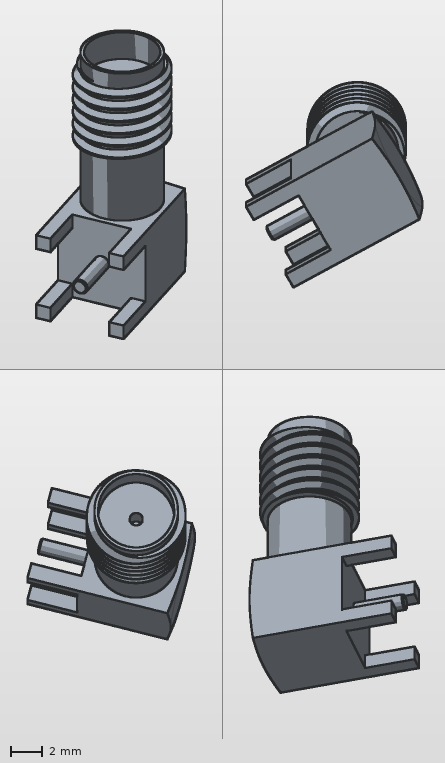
import cadquery as cq
import math

body_side = 6.2
half_side = body_side / 2
back_cone_angle = 10.0

leg_width = 1.01
leg_length = 3.3
pin_diameter = 1.01
pin_chamfer = 0.09

total_height = 17.2
barrel_radius = 2.68
bore_radius = 2.45
bore_depth = 2.0
contact_radius = 0.41
contact_depth = 2.0

thread_radius = 3.173
thread_pitch = 0.91
thread_bottom = 10.85
thread_top = 16.19
thread_root_width = 0.69
thread_crest_width = 0.12
thread_overlap = 0.05
helix_start = 10.42
helix_turns = 7

trim_margin = 0.17


def make_body():
    """Cube whose back corners are turned down by a shallow cone."""
    cube = cq.Workplane("XY").box(body_side, body_side, body_side, centered=(True, True, False))
    corner_radius = half_side * math.sqrt(2) + trim_margin
    corner_drop = (corner_radius - half_side) * math.tan(math.radians(back_cone_angle))
    envelope = (
        cq.Workplane("XY")
        .moveTo(0, -half_side)
        .lineTo(corner_radius, -half_side)
        .lineTo(corner_radius, half_side - corner_drop)
        .lineTo(half_side, half_side)
        .lineTo(0, half_side)
        .close()
        .revolve(360, (0, 0, 0), (0, 1, 0))
        .translate((0, 0, half_side))
    )
    return cube.intersect(envelope)


def front_plane():
    """Workplane centred on the front face, pointing out of the body."""
    return cq.Workplane("XZ", origin=(0, -half_side, half_side))


def make_legs():
    leg_spacing = body_side - leg_width
    return (
        front_plane()
        .rarray(leg_spacing, leg_spacing, 2, 2)
        .rect(leg_width, leg_width)
        .extrude(leg_length)
    )


def make_pin():
    return front_plane().circle(pin_diameter / 2).extrude(leg_length).faces("<Y").chamfer(pin_chamfer)


def make_barrel():
    return cq.Workplane("XY", origin=(0, 0, body_side)).circle(barrel_radius).extrude(total_height - body_side)


def make_thread():
    """Trapezoidal ridge swept along a helix and trimmed to a flat-ended sleeve."""
    inner_radius = barrel_radius - thread_overlap
    path = cq.Wire.makeHelix(thread_pitch, thread_pitch * helix_turns, barrel_radius)
    flank_slope = (thread_root_width - thread_crest_width) / (thread_radius - barrel_radius)
    half_base = (thread_root_width + flank_slope * thread_overlap) / 2
    half_crest = thread_crest_width / 2
    ridge = (
        cq.Workplane("XZ")
        .polyline([
            (inner_radius, -half_base),
            (thread_radius, -half_crest),
            (thread_radius, half_crest),
            (inner_radius, half_base),
        ])
        .close()
        .sweep(cq.Workplane(path), isFrenet=True)
        .translate((0, 0, helix_start))
    )
    sleeve = (
        cq.Workplane("XY", origin=(0, 0, thread_bottom))
        .circle(thread_radius + trim_margin)
        .extrude(thread_top - thread_bottom)
    )
    return ridge.intersect(sleeve)


def make_bore():
    """Open socket with a smaller contact hole in its floor."""
    socket = cq.Workplane("XY", origin=(0, 0, total_height)).circle(bore_radius).extrude(-bore_depth)
    contact = (
        cq.Workplane("XY", origin=(0, 0, total_height - bore_depth))
        .circle(contact_radius)
        .extrude(-contact_depth)
    )
    return socket.union(contact)


connector = make_body().union(make_legs()).union(make_pin()).union(make_barrel())
result = connector.union(make_thread()).cut(make_bore())